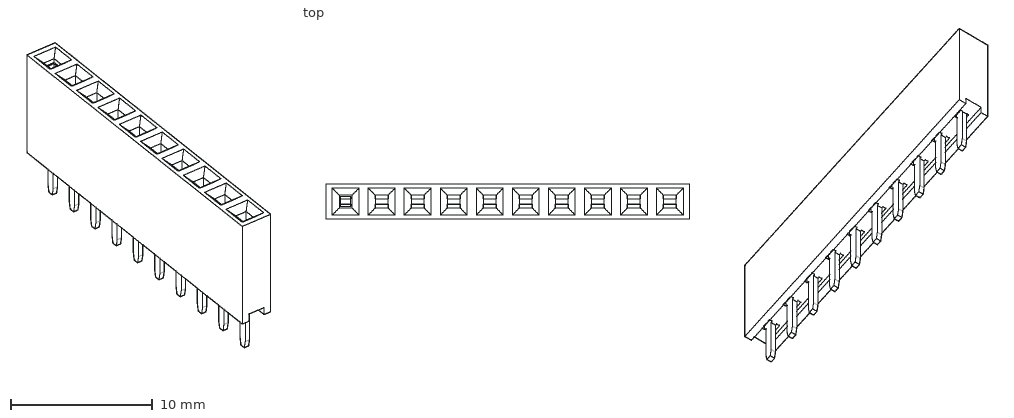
import cadquery as cq

contact_count = 10
pitch = 2.55
length = 25.65
width = 2.5
overall_height = 11.7
pin_length_below_housing = 3.2
housing_height = overall_height - pin_length_below_housing

groove_width = 1.33
groove_depth = 0.62

funnel_mouth = 1.9
hole_size = 0.9
funnel_depth = (funnel_mouth - hole_size) / 2
funnel_base_z = housing_height - funnel_depth

ledge_drop = 0.33
ledge_width = 0.1
ledge_z = funnel_base_z - ledge_drop
first_hole_size = hole_size - 2 * ledge_width

contact_thickness = 0.38
socket_depth = 6.0
blade_top_z = housing_height - socket_depth
pin_width = 0.65
pin_tip_width = 0.4
pin_tip_length = 0.62
pin_bottom_z = -pin_length_below_housing

first_contact_x = -pitch * (contact_count - 1) / 2
contact_xs = [first_contact_x + index * pitch for index in range(contact_count)]


def block(x, size_x, size_y, bottom_z, top_z):
    """Box centred on (x, 0) between two heights."""
    return (
        cq.Workplane("XY", origin=(x, 0, bottom_z))
        .rect(size_x, size_y)
        .extrude(top_z - bottom_z)
    )


def funnel(x):
    """Tapered lead-in, wide at the top face of the housing."""
    return (
        cq.Workplane("XY", origin=(x, 0, funnel_base_z))
        .rect(hole_size, hole_size)
        .workplane(offset=funnel_depth)
        .rect(funnel_mouth, funnel_mouth)
        .loft(ruled=True)
    )


def socket(x, is_first):
    """Funnel and the hole that runs down into the groove."""
    if is_first:
        entry = block(x, hole_size, hole_size, ledge_z, funnel_base_z)
        hole = block(x, first_hole_size, first_hole_size, 0, ledge_z)
        return funnel(x).union(entry).union(hole)
    return funnel(x).union(block(x, hole_size, hole_size, 0, funnel_base_z))


def contact(x):
    """Blade held between the hole walls, and the pin with its tapered tip."""
    blade = block(x, hole_size, contact_thickness, groove_depth, blade_top_z)
    half_pin = pin_width / 2
    half_tip = pin_tip_width / 2
    taper_z = pin_bottom_z + pin_tip_length
    pin = (
        cq.Workplane("XZ", origin=(x, 0, 0))
        .polyline([
            (-half_pin, groove_depth),
            (-half_pin, taper_z),
            (-half_tip, pin_bottom_z),
            (half_tip, pin_bottom_z),
            (half_pin, taper_z),
            (half_pin, groove_depth),
        ])
        .close()
        .extrude(contact_thickness / 2, both=True)
    )
    return blade.union(pin)


result = block(0, length, width, 0, housing_height)
result = result.cut(block(0, length, groove_width, 0, groove_depth))
for contact_x in contact_xs:
    result = result.cut(socket(contact_x, contact_x == first_contact_x))
    result = result.union(contact(contact_x))